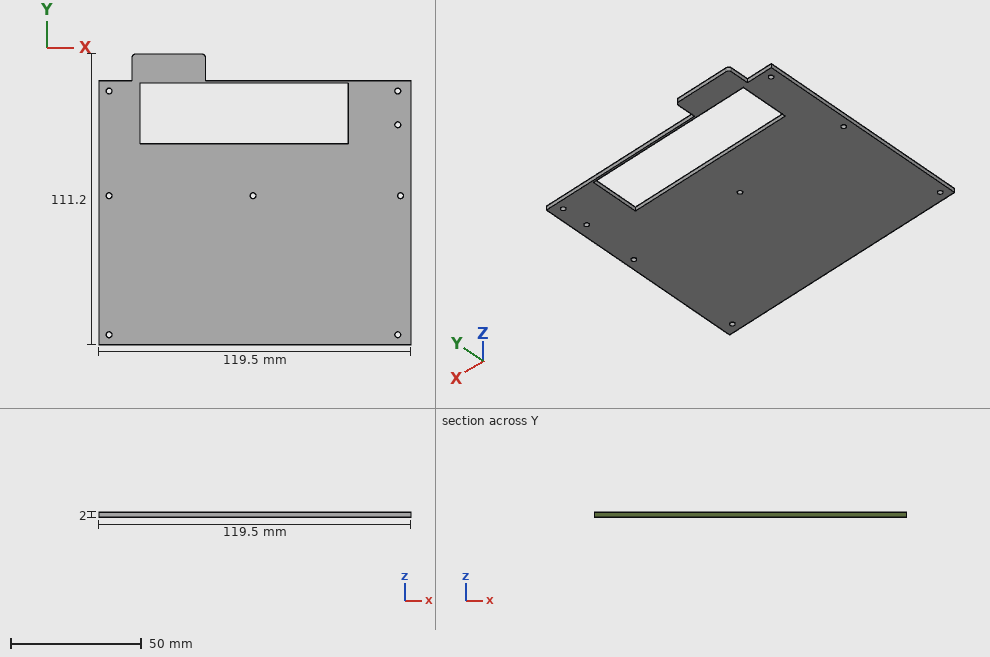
import cadquery as cq

plate_width = 119.5
plate_depth = 101.0
thickness = 2.0

total_depth = 111.2
tab_left = 12.7
tab_width = 28.2
tab_corner_radius = 1.4

window_left = 15.8
window_width = 79.6
window_depth = 23.0
back_strip = 1.0

hole_diameter = 2.2
left_holes_x = 4.0
center_hole_x = 59.0
right_holes_x = 114.3
right_middle_hole_x = 115.4
front_row_y = 3.8
middle_row_y = 57.0
extra_hole_y = 84.1
back_row_y = 97.0
hole_centers = [
    (left_holes_x, front_row_y),
    (right_holes_x, front_row_y),
    (left_holes_x, middle_row_y),
    (center_hole_x, middle_row_y),
    (right_middle_hole_x, middle_row_y),
    (right_holes_x, extra_hole_y),
    (left_holes_x, back_row_y),
    (right_holes_x, back_row_y),
]


def slab(left, front, width, depth):
    """Rectangular block of plate thickness placed by its lower left corner."""
    block = cq.Workplane("XY").box(width, depth, thickness, centered=False)
    return block.translate((left, front, 0))


plate = slab(0, 0, plate_width, plate_depth)

tab = slab(tab_left, plate_depth, tab_width, total_depth - plate_depth)
tab = tab.edges("|Z and >Y").fillet(tab_corner_radius)

window_front = plate_depth - back_strip - window_depth
window = slab(window_left, window_front, window_width, window_depth)

holes = (
    cq.Workplane("XY")
    .pushPoints(hole_centers)
    .circle(hole_diameter / 2)
    .extrude(thickness)
)

result = plate.union(tab).cut(window).cut(holes)